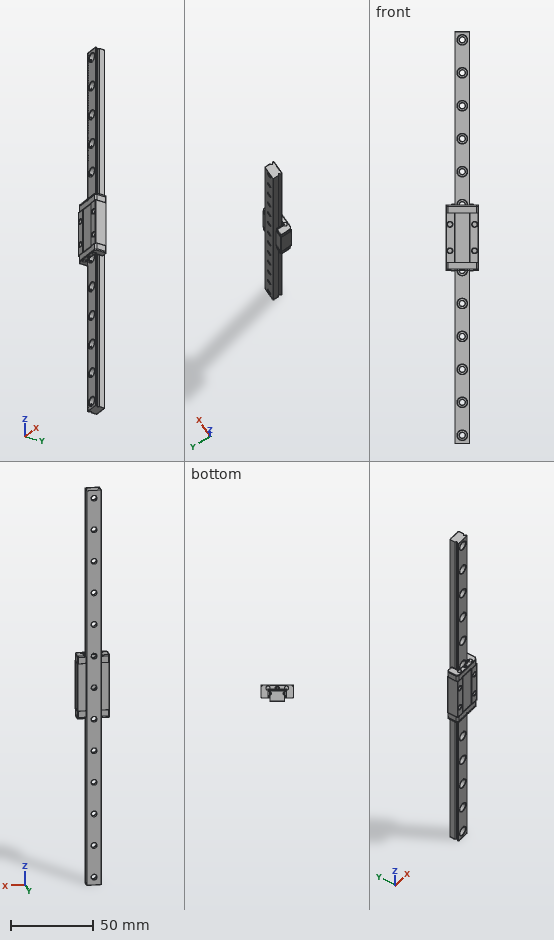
import cadquery as cq

REAR_Y = 5.0
FRONT_Y = -5.0

RAIL_LENGTH = 250.0
RAIL_WIDTH = 9.0
RAIL_HEIGHT = 6.5
RAIL_REAR_CHAMFER = 0.12
RAIL_FRONT_Y = REAR_Y - RAIL_HEIGHT

GROOVE_DEPTH = 0.88
GROOVE_REAR_Y = 1.2
GROOVE_FLOOR_REAR_Y = 0.62
GROOVE_FLOOR_FRONT_Y = 0.12
GROOVE_FRONT_Y = -0.8

MOUNT_HOLE_COUNT = 13
MOUNT_HOLE_PITCH = 20.0
MOUNT_HOLE_DIAMETER = 3.5
COUNTERBORE_DIAMETER = 6.0
COUNTERBORE_DEPTH = 3.5
COUNTERBORE_CHAMFER = 0.2

BLOCK_WIDTH = 20.0
BLOCK_HEIGHT = 8.0
BLOCK_LENGTH = 30.0
BLOCK_FRONT_CHAMFER = 0.38
CARRIAGE_REAR_CHAMFER = 0.5
BLOCK_REAR_Y = FRONT_Y + BLOCK_HEIGHT

BAND_WIDTH = 9.5
BAND_DEPTH = 0.5

THREAD_DIAMETER = 3.0
THREAD_DEPTH = 3.0
THREAD_CHAMFER = 0.3
THREAD_SPACING_X = 15.0
THREAD_SPACING_Z = 16.0

CAP_LENGTH = 4.0
SEAL_THICKNESS = 0.9
END_INSET = 0.15
END_FRONT_CHAMFER = 1.12

RUNNING_CLEARANCE = 0.2
SEAL_CLEARANCE = 1.0

END_FEATURE_Y = -3.0
PORT_DIAMETER = 2.5
PORT_BORE_DIAMETER = 1.3
SCREW_SPACING = 11.2
SCREW_HEAD_DIAMETER = 2.5
SCREW_HEAD_HEIGHT = 0.5

CAP_START_Z = BLOCK_LENGTH / 2
SEAL_START_Z = CAP_START_Z + CAP_LENGTH
SCREW_START_Z = SEAL_START_Z + SEAL_THICKNESS


def grooved_profile(clearance=0.0):
    """Rail cross-section sketch, widened by a clearance at the sides and the front."""
    half_width = RAIL_WIDTH / 2 + clearance
    floor_x = half_width - GROOVE_DEPTH
    right_side = [
        (half_width, REAR_Y),
        (half_width, GROOVE_REAR_Y),
        (floor_x, GROOVE_FLOOR_REAR_Y),
        (floor_x, GROOVE_FLOOR_FRONT_Y),
        (half_width, GROOVE_FRONT_Y),
        (half_width, RAIL_FRONT_Y - clearance),
    ]
    left_side = [(-x, y) for x, y in reversed(right_side)]
    return cq.Workplane("XY").polyline(right_side + left_side).close()


def box_between(width, front_y, rear_y, start_z, length):
    """Box centred on X that starts at start_z."""
    middle_y = (front_y + rear_y) / 2
    depth = rear_y - front_y
    return cq.Workplane("XY", origin=(0, middle_y, start_z)).rect(width, depth).extrude(length)


def mount_hole_cutters(diameter, depth):
    """Row of cylinders that enter the rail from its front face."""
    return (
        cq.Workplane("XZ", origin=(0, RAIL_FRONT_Y, 0))
        .rarray(2.5, MOUNT_HOLE_PITCH, 1, MOUNT_HOLE_COUNT)
        .circle(diameter / 2)
        .extrude(-depth)
    )


def make_rail():
    rail = grooved_profile().extrude(RAIL_LENGTH / 2, both=True)
    rail = rail.faces(">Y").edges("|Z").chamfer(RAIL_REAR_CHAMFER)
    rail = rail.cut(mount_hole_cutters(MOUNT_HOLE_DIAMETER, RAIL_HEIGHT))
    rail = rail.cut(mount_hole_cutters(COUNTERBORE_DIAMETER, COUNTERBORE_DEPTH))
    return rail.faces("<Y").edges("%CIRCLE").chamfer(COUNTERBORE_CHAMFER)


def band_cutter():
    """Trapezoid prism, narrower at its floor, along the whole block."""
    half_width = BAND_WIDTH / 2
    floor_half_width = half_width - BAND_DEPTH
    floor_y = FRONT_Y + BAND_DEPTH
    outline = [
        (-half_width, FRONT_Y),
        (half_width, FRONT_Y),
        (floor_half_width, floor_y),
        (-floor_half_width, floor_y),
    ]
    return cq.Workplane("XY").polyline(outline).close().extrude(BLOCK_LENGTH / 2, both=True)


def thread_cutters():
    return (
        cq.Workplane("XZ", origin=(0, FRONT_Y, 0))
        .rarray(THREAD_SPACING_X, THREAD_SPACING_Z, 2, 2)
        .circle(THREAD_DIAMETER / 2)
        .extrude(-THREAD_DEPTH)
    )


def make_block():
    block = box_between(BLOCK_WIDTH, FRONT_Y, BLOCK_REAR_Y, -BLOCK_LENGTH / 2, BLOCK_LENGTH)
    block = block.faces("<Y").edges("|Z").chamfer(BLOCK_FRONT_CHAMFER)
    block = block.faces(">Y").edges("|Z").chamfer(CARRIAGE_REAR_CHAMFER)
    block = block.cut(grooved_profile(RUNNING_CLEARANCE).extrude(BLOCK_LENGTH / 2, both=True))
    block = block.cut(band_cutter())
    block = block.cut(thread_cutters())
    return block.faces("<Y").edges("%CIRCLE").chamfer(THREAD_CHAMFER)


def end_plate(start_z, length, clearance, hole_diameter):
    """Plate at the +Z end of the carriage, with a plain channel and a round hole through it."""
    width = BLOCK_WIDTH - 2 * END_INSET
    plate = box_between(width, FRONT_Y + END_INSET, BLOCK_REAR_Y - END_INSET, start_z, length)
    plate = plate.faces("<Y").edges("|Z").chamfer(END_FRONT_CHAMFER)
    plate = plate.faces(">Y").edges("|Z").chamfer(CARRIAGE_REAR_CHAMFER)
    channel_width = RAIL_WIDTH + 2 * clearance
    plate = plate.cut(box_between(channel_width, RAIL_FRONT_Y - clearance, REAR_Y, start_z, length))
    hole = cq.Workplane("XY", origin=(0, END_FEATURE_Y, start_z)).circle(hole_diameter / 2).extrude(length)
    return plate.cut(hole)


def make_end_cap():
    return end_plate(CAP_START_Z, CAP_LENGTH, RUNNING_CLEARANCE, PORT_BORE_DIAMETER)


def make_end_seal():
    return end_plate(SEAL_START_Z, SEAL_THICKNESS, SEAL_CLEARANCE, PORT_DIAMETER)


def make_screw_head(center_x):
    """Domed head that rests on the outer face of the +Z seal."""
    radius = SCREW_HEAD_DIAMETER / 2
    dome_radius = (radius**2 + SCREW_HEAD_HEIGHT**2) / (2 * SCREW_HEAD_HEIGHT)
    dome = (
        cq.Workplane("XZ")
        .lineTo(radius, 0)
        .radiusArc((0, SCREW_HEAD_HEIGHT), -dome_radius)
        .close()
        .revolve(360, (0, 0, 0), (0, 1, 0))
    )
    return dome.translate((center_x, END_FEATURE_Y, SCREW_START_Z))


rail = make_rail()
block = make_block()

upper_end = [make_end_cap().val(), make_end_seal().val()]
for side in (-1, 1):
    upper_end.append(make_screw_head(side * SCREW_SPACING / 2).val())
lower_end = [body.mirror("XY") for body in upper_end]

result = cq.Compound.makeCompound([rail.val(), block.val(), *upper_end, *lower_end])